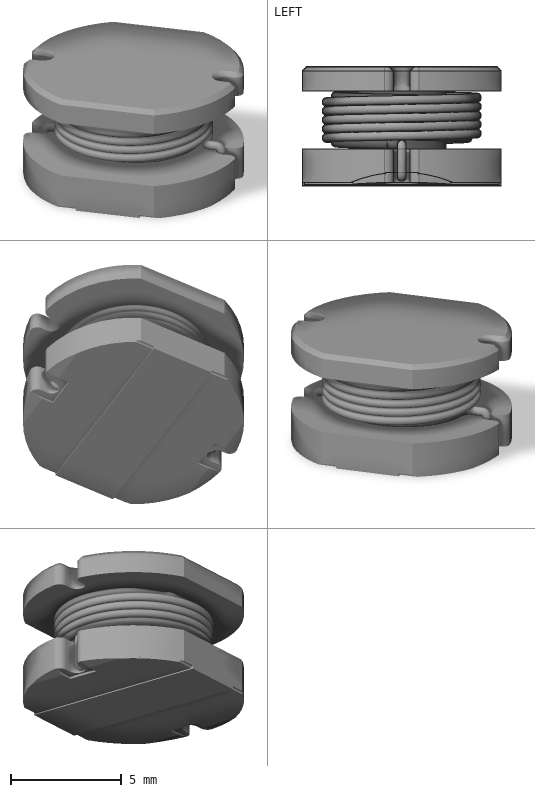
import cadquery as cq
import math

FLANGE_RADIUS = 5.0
FLANGE_WIDTH_Y = 9.0
LOWER_FLANGE_TOP = 1.67
UPPER_FLANGE_BOTTOM = 4.28
CORE_TOP = 5.4
POST_RADIUS = 2.0
RIM_CHAMFER = 0.2
RIB_HALF_WIDTH = 1.5

NOTCH_HALF_WIDTH = 0.38
NOTCH_END_X = 3.89
NOTCH_ARC_X = NOTCH_END_X + NOTCH_HALF_WIDTH
NOTCH_LIP_RADIUS = 0.35

PLATING = 0.1
TERMINAL_BOTTOM = 0.05
TERMINAL_TOP = TERMINAL_BOTTOM + PLATING
TERMINAL_WIDTH_Y = FLANGE_WIDTH_Y - 2 * PLATING
TERMINAL_BEVEL_X = 4.33
TERMINAL_BEVEL_SLOPE = 0.17
TERMINAL_RISE_X = 4.43
TERMINAL_RISE_SLOPE = 0.81
LINING_TOP = 0.6
LINING_INNER_X = NOTCH_END_X - PLATING
LINING_HALF_WIDTH = NOTCH_HALF_WIDTH + NOTCH_LIP_RADIUS

WIRE_RADIUS = 0.196
FULL_TURN = 360.0

OUTER_COIL_RADIUS = 3.4
OUTER_PITCH = 0.405
OUTER_START_ANGLE = 20.0
OUTER_START_Z = 2.09
OUTER_END_ANGLE = 301.0
OUTER_TURNS = 4 + (OUTER_END_ANGLE - OUTER_START_ANGLE) / FULL_TURN
OUTER_END_Z = OUTER_START_Z + OUTER_TURNS * OUTER_PITCH

INNER_COIL_RADIUS = 2.985
INNER_TOP_ANGLE = 90.0
INNER_TOP_Z = 4.045
INNER_BOTTOM_ANGLE = 168.0
INNER_TURNS = 5 + (INNER_BOTTOM_ANGLE - INNER_TOP_ANGLE) / FULL_TURN

CROSSOVER_ANGLE = FULL_TURN + INNER_TOP_ANGLE - OUTER_END_ANGLE
CROSSOVER_HUMP = 0.035
CROSSOVER_STEPS = 6

LEAD_X = 4.1
LEAD_BEND = 0.2
LEAD_BEND_X = LEAD_X - LEAD_BEND
LEAD_Z = LOWER_FLANGE_TOP + LEAD_BEND
HOOK_TOP_Z = 0.61
RIGHT_RUN_END_X = 3.55
LEFT_RUN_END_X = -3.44
RIGHT_TURN_POINT = (3.365, 0.28, 1.915)

INNER_BOTTOM_Z = LEAD_Z
INNER_PITCH = (INNER_TOP_Z - INNER_BOTTOM_Z) / INNER_TURNS


def notch(side, height):
    """Notch-shaped block, rising from Z = 0, for the +X (side=1) or -X (side=-1) edge of a flange."""
    return (
        cq.Workplane("XY")
        .moveTo(side * 2 * FLANGE_RADIUS, -NOTCH_HALF_WIDTH)
        .lineTo(side * NOTCH_ARC_X, -NOTCH_HALF_WIDTH)
        .threePointArc((side * (NOTCH_ARC_X - NOTCH_HALF_WIDTH), 0), (side * NOTCH_ARC_X, NOTCH_HALF_WIDTH))
        .lineTo(side * 2 * FLANGE_RADIUS, NOTCH_HALF_WIDTH)
        .close()
        .extrude(height)
    )


def flange(bottom, top):
    """Round flange with two flats, notched at both X ends with rounded notch lips."""
    height = top - bottom
    disc = cq.Workplane("XY").circle(FLANGE_RADIUS).extrude(height)
    disc = disc.intersect(
        cq.Workplane("XY").box(3 * FLANGE_RADIUS, FLANGE_WIDTH_Y, height, centered=(True, True, False))
    )
    for side in (1, -1):
        disc = disc.cut(notch(side, height))
        lips = cq.selectors.BoxSelector(
            (side * (NOTCH_ARC_X + NOTCH_HALF_WIDTH), -2 * NOTCH_HALF_WIDTH, 0),
            (side * 2 * FLANGE_RADIUS, 2 * NOTCH_HALF_WIDTH, height),
        )
        disc = disc.edges("|Z").edges(lips).fillet(NOTCH_LIP_RADIUS)
    return disc.translate((0, 0, bottom))


def lining_block(side, top):
    """Block around a notch and its rounded lips, from Z = 0 up to `top`."""
    return (
        cq.Workplane("XY")
        .moveTo(side * LINING_INNER_X, -LINING_HALF_WIDTH)
        .lineTo(side * FLANGE_RADIUS, -LINING_HALF_WIDTH)
        .lineTo(side * FLANGE_RADIUS, LINING_HALF_WIDTH)
        .lineTo(side * LINING_INNER_X, LINING_HALF_WIDTH)
        .close()
        .extrude(top)
    )


def terminal_seat(side):
    """Everything a terminal takes from the lower flange: bevelled underside and notch lining."""
    edge_x = FLANGE_RADIUS
    edge_top = TERMINAL_TOP + TERMINAL_RISE_SLOPE * (edge_x - TERMINAL_RISE_X)
    underside = (
        cq.Workplane("XZ")
        .polyline([
            (side * RIB_HALF_WIDTH, 0),
            (side * edge_x, 0),
            (side * edge_x, edge_top),
            (side * TERMINAL_RISE_X, TERMINAL_TOP),
            (side * RIB_HALF_WIDTH, TERMINAL_TOP),
        ])
        .close()
        .extrude(FLANGE_WIDTH_Y / 2, both=True)
    )
    return underside.union(lining_block(side, LINING_TOP))


def make_terminal(side):
    """Thin plate under one side of the core, turned up at its rim and raised to line the notch."""
    edge_x = FLANGE_RADIUS
    edge_bottom = TERMINAL_BOTTOM + TERMINAL_BEVEL_SLOPE * (edge_x - TERMINAL_BEVEL_X)
    envelope = (
        cq.Workplane("XZ")
        .polyline([
            (side * RIB_HALF_WIDTH, TERMINAL_BOTTOM),
            (side * TERMINAL_BEVEL_X, TERMINAL_BOTTOM),
            (side * edge_x, edge_bottom),
            (side * edge_x, LOWER_FLANGE_TOP),
            (side * RIB_HALF_WIDTH, LOWER_FLANGE_TOP),
        ])
        .close()
        .extrude(TERMINAL_WIDTH_Y / 2, both=True)
    )
    plate = flange(0, LOWER_FLANGE_TOP).intersect(terminal_seat(side)).intersect(envelope)
    plate = plate.cut(lining_block(side, TERMINAL_TOP))
    return plate.cut(sweep_wire([lead_hook(side)]))


def make_core():
    """Drum core: two flanges on a round post, with seats for the terminals underneath."""
    upper = flange(UPPER_FLANGE_BOTTOM, CORE_TOP).faces(">Z").chamfer(RIM_CHAMFER)
    lower = flange(0, LOWER_FLANGE_TOP)
    for side in (1, -1):
        lower = lower.cut(terminal_seat(side))
    post = (
        cq.Workplane("XY", origin=(0, 0, LOWER_FLANGE_TOP))
        .circle(POST_RADIUS)
        .extrude(UPPER_FLANGE_BOTTOM - LOWER_FLANGE_TOP)
    )
    return lower.union(post).union(upper)


def sweep_wire(edges):
    """Round wire along a chain of edges, starting square to the first one."""
    start = cq.Plane(origin=edges[0].positionAt(0), normal=edges[0].tangentAt(0))
    path = cq.Workplane("XY").newObject([cq.Wire.assembleEdges(edges)])
    return cq.Workplane(start).circle(WIRE_RADIUS).sweep(path, isFrenet=True)


def helix(radius, pitch, turns, start_angle, start_z, lefthand=False):
    """Rising helix edge about Z."""
    spiral = cq.Wire.makeHelix(pitch, turns * pitch, radius, lefthand=lefthand).Edges()[0]
    turned = spiral.rotate(cq.Vector(0, 0, 0), cq.Vector(0, 0, 1), start_angle)
    return turned.translate(cq.Vector(0, 0, start_z))


def crossover(start_direction, end_direction):
    """Curve over the top of the coil, closing in from the outer radius to the inner one."""
    points = []
    for step in range(CROSSOVER_STEPS + 1):
        t = step / CROSSOVER_STEPS
        smooth_step = t * t * (3 - 2 * t)
        inward = (t + smooth_step) / 2
        radius = OUTER_COIL_RADIUS + inward * (INNER_COIL_RADIUS - OUTER_COIL_RADIUS)
        angle = math.radians(OUTER_END_ANGLE + t * CROSSOVER_ANGLE)
        hump = CROSSOVER_HUMP * 4 * t * (1 - t)
        z = OUTER_END_Z + t * (INNER_TOP_Z - OUTER_END_Z) + hump
        points.append(cq.Vector(radius * math.cos(angle), radius * math.sin(angle), z))
    return cq.Edge.makeSpline(points, tangents=[start_direction, end_direction])


def lead_hook(side):
    """Quarter bend that turns the tip of a lead in against the end wall of its notch."""
    tilt = LEAD_BEND * math.sqrt(0.5)
    return cq.Edge.makeThreePointArc(
        cq.Vector(side * LEAD_BEND_X, 0, HOOK_TOP_Z - LEAD_BEND),
        cq.Vector(side * (LEAD_BEND_X + tilt), 0, HOOK_TOP_Z - tilt),
        cq.Vector(side * LEAD_X, 0, HOOK_TOP_Z),
    )


def lead(side, run_end):
    """Edges of one lead, from the hooked tip up to the inner end of its flat run."""
    tilt = LEAD_BEND * math.sqrt(0.5)
    elbow_z = LEAD_Z - LEAD_BEND
    upright_bottom = cq.Vector(side * LEAD_X, 0, HOOK_TOP_Z)
    upright_top = cq.Vector(side * LEAD_X, 0, elbow_z)
    elbow_middle = cq.Vector(side * (LEAD_BEND_X + tilt), 0, elbow_z + tilt)
    elbow_end = cq.Vector(side * LEAD_BEND_X, 0, LEAD_Z)
    return [
        lead_hook(side),
        cq.Edge.makeLine(upright_bottom, upright_top),
        cq.Edge.makeThreePointArc(upright_top, elbow_middle, elbow_end),
        cq.Edge.makeLine(elbow_end, run_end),
    ]


def make_wire():
    """Two-layer coil: up the outer layer, over the top, down the inner layer, with a lead at each end."""
    outer = helix(OUTER_COIL_RADIUS, OUTER_PITCH, OUTER_TURNS, OUTER_START_ANGLE, OUTER_START_Z)
    inner = helix(
        INNER_COIL_RADIUS, INNER_PITCH, INNER_TURNS, INNER_BOTTOM_ANGLE, INNER_BOTTOM_Z, lefthand=True
    )
    over_the_top = crossover(outer.tangentAt(1), -inner.tangentAt(1))

    toward_minus_x = cq.Vector(-1, 0, 0)
    right_run_end = cq.Vector(RIGHT_RUN_END_X, 0, LEAD_Z)
    left_run_end = cq.Vector(LEFT_RUN_END_X, 0, LEAD_Z)
    right_turn = cq.Edge.makeSpline(
        [right_run_end, cq.Vector(*RIGHT_TURN_POINT), outer.positionAt(0)],
        tangents=[toward_minus_x, outer.tangentAt(0)],
    )
    left_turn = cq.Edge.makeSpline(
        [inner.positionAt(0), left_run_end],
        tangents=[-inner.tangentAt(0), toward_minus_x],
    )
    coil = [right_turn, outer, over_the_top, inner, left_turn]
    return sweep_wire(lead(1, right_run_end) + coil + lead(-1, left_run_end))


core = make_core()
terminals = [make_terminal(side) for side in (1, -1)]
wire = make_wire()

result = cq.Compound.makeCompound([
    core.val(),
    *[terminal.val() for terminal in terminals],
    wire.val(),
])